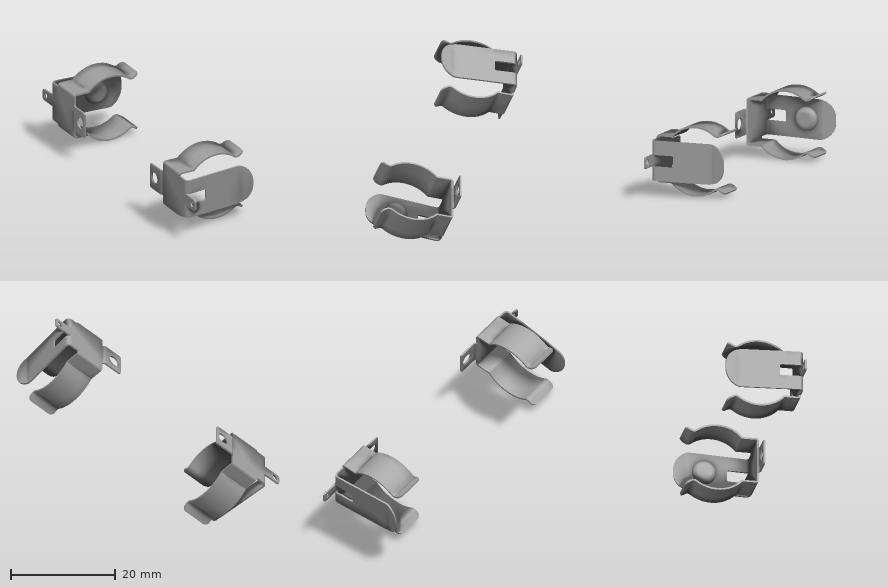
import cadquery as cq
import math


overall_length = 58.25
overall_height = 13.7
sheet = 0.35

outer_end_x = -overall_length / 2
solder_tab_length = 4.1
solder_tab_width = 2.3
solder_tab_corner = 0.45
solder_hole_diameter = 1.15
solder_hole_inset = 1.1

leaf_width = 7.85
leaf_bend_radius = 0.9
leaf_lean = 5.0
leaf_kink_y = 12.6
leaf_tip_lean = 13.0
leaf_tip_y = 15.15
leaf_tip_corner = 3.5
slot_end_y = 4.55
slot_corner = 0.35

button_diameter = 4.65
button_edge_radius = 1.15
button_center_y = 9.2
button_face_x = -23.6

strap_left_x = -23.3
strap_width = 6.3
strap_base_height = 9.3
strap_corner_radius = 0.5
grip_center_y = 8.15
flare_center_y = 12.7
flare_radius = 1.05
flare_angle = 30.0
flare_length = 1.35
flare_corner = 1.0

mount_tab_end_x = -12.6
mount_tab_width = 5.05
mount_tab_corner = 0.35
mount_hole_diameter = 2.35
mount_hole_inset = 1.65
jog_length = 0.45

leaf_root_x = outer_end_x + solder_tab_length
strap_right_x = strap_left_x + strap_width
grip_radius = overall_height / 2


def on_circle(center, radius, angle):
    """Point on a circle, with the angle in degrees."""
    a = math.radians(angle)
    return (center[0] + radius * math.cos(a), center[1] + radius * math.sin(a))


def grip_arm():
    """Upper half of the strap: half the base, the flat, the grip arc and the flared lip."""
    grip_center = (grip_center_y, 0)
    inner_grip = grip_radius - sheet
    inner_flare = flare_radius - sheet
    flat_z = strap_base_height / 2
    inner_flat_z = flat_z - sheet
    inner_corner = strap_corner_radius - sheet
    corner_center = (strap_corner_radius, flat_z - strap_corner_radius)

    reach = flare_center_y - grip_center_y
    centers_apart = inner_grip + flare_radius
    flare_center = (flare_center_y, math.sqrt(centers_apart**2 - reach**2))
    blend_angle = math.degrees(math.atan2(flare_center[1], reach))
    flare_start = blend_angle + 180
    flare_end = flare_angle + 270
    flare_middle = (flare_start + flare_end) / 2

    outer_flat_end = (grip_center_y - math.sqrt(grip_radius**2 - flat_z**2), flat_z)
    inner_flat_end = (grip_center_y - math.sqrt(inner_grip**2 - inner_flat_z**2), inner_flat_z)
    upper_lip_start = on_circle(flare_center, inner_flare, flare_end)
    lower_lip_start = on_circle(flare_center, flare_radius, flare_end)

    profile = (
        cq.Workplane("YZ")
        .lineTo(0, flat_z - strap_corner_radius)
        .threePointArc(on_circle(corner_center, strap_corner_radius, 135), (strap_corner_radius, flat_z))
        .lineTo(*outer_flat_end)
        .threePointArc((grip_center_y, grip_radius), on_circle(grip_center, grip_radius, blend_angle))
        .threePointArc(on_circle(flare_center, inner_flare, flare_middle), upper_lip_start)
        .lineTo(*on_circle(upper_lip_start, flare_length, flare_angle))
        .lineTo(*on_circle(lower_lip_start, flare_length, flare_angle))
        .lineTo(*lower_lip_start)
        .threePointArc(
            on_circle(flare_center, flare_radius, flare_middle),
            on_circle(grip_center, inner_grip, blend_angle),
        )
        .threePointArc((grip_center_y, inner_grip), inner_flat_end)
        .lineTo(strap_corner_radius, inner_flat_z)
        .threePointArc(on_circle(corner_center, inner_corner, 135), (sheet, flat_z - strap_corner_radius))
        .lineTo(sheet, 0)
        .close()
    )
    arm = profile.extrude(strap_width).translate((strap_left_x, 0, 0))
    lip_normal = cq.Vector(0, *on_circle((0, 0), 1, flare_angle + 90))
    return arm.edges(cq.selectors.ParallelDirSelector(lip_normal)).fillet(flare_corner)


def strap():
    """C-shaped gripping strap."""
    arm = grip_arm()
    return arm.union(arm.mirror("XY"))


def contact_leaf():
    """Flat foot beside the strap, bent up into a leaning leaf with a kinked, rounded tip."""
    bend_center = (leaf_root_x, leaf_bend_radius)
    inner_bend = leaf_bend_radius - sheet
    bend_end = 180 - leaf_lean
    bend_middle = (270 + bend_end) / 2
    lean_slope = math.tan(math.radians(leaf_lean))
    tip_slope = math.tan(math.radians(leaf_tip_lean))

    back_start = on_circle(bend_center, leaf_bend_radius, bend_end)
    back_kink = (back_start[0] + (leaf_kink_y - back_start[1]) * lean_slope, leaf_kink_y)
    back_end = (back_kink[0] - (leaf_tip_y - leaf_kink_y) * tip_slope, leaf_tip_y)
    miter = sheet / math.cos(math.radians(leaf_lean + leaf_tip_lean) / 2)
    front_kink = on_circle(back_kink, miter, (leaf_tip_lean - leaf_lean) / 2)
    front_end = (back_end[0] + sheet / math.cos(math.radians(leaf_tip_lean)), leaf_tip_y)

    bent_sheet = (
        cq.Workplane("XY")
        .moveTo(strap_left_x, 0)
        .lineTo(leaf_root_x, 0)
        .threePointArc(on_circle(bend_center, leaf_bend_radius, bend_middle), back_start)
        .lineTo(*back_kink)
        .lineTo(*back_end)
        .lineTo(*front_end)
        .lineTo(*front_kink)
        .lineTo(*on_circle(bend_center, inner_bend, bend_end))
        .threePointArc(on_circle(bend_center, inner_bend, bend_middle), (leaf_root_x, sheet))
        .lineTo(strap_left_x, sheet)
        .close()
        .extrude(leaf_width / 2, both=True)
    )
    rounded_outline = (
        cq.Workplane("XY")
        .box(2 * leaf_tip_y, 2 * leaf_tip_y, leaf_width)
        .edges(">Y and |X")
        .fillet(leaf_tip_corner)
        .translate((0, -leaf_tip_y, 0))
        .rotate((0, 0, 0), (0, 0, 1), leaf_tip_lean)
        .translate((*front_end, 0))
    )
    button = (
        cq.Workplane("YZ", origin=(button_face_x, button_center_y, 0))
        .circle(button_diameter / 2)
        .extrude(back_start[0] - button_face_x)
        .faces(">X")
        .edges()
        .fillet(button_edge_radius)
    )
    front_of_back = (
        cq.Workplane("XY")
        .polyline([back_start, back_kink, (strap_left_x, leaf_kink_y), (strap_left_x, back_start[1])])
        .close()
        .extrude(leaf_width / 2, both=True)
    )
    slot = (
        cq.Workplane("XY")
        .box(solder_tab_length, slot_end_y, solder_tab_width, centered=(False, False, True))
        .translate((outer_end_x, 0, 0))
        .edges(">Y and |X")
        .fillet(slot_corner)
    )
    return bent_sheet.intersect(rounded_outline).union(button.intersect(front_of_back)).cut(slot)


def solder_tab():
    """Narrow tab in line with the strap base, with a wire hole near its end."""
    return (
        cq.Workplane("XY")
        .box(solder_tab_length, sheet, solder_tab_width, centered=(False, False, True))
        .translate((outer_end_x, 0, 0))
        .edges("<X and |Y")
        .fillet(solder_tab_corner)
        .cut(round_hole(outer_end_x + solder_hole_inset, solder_hole_diameter))
    )


def mounting_tab():
    """Tab on the far side of the strap, stepped outward by one sheet thickness."""
    jog_end_x = strap_right_x + jog_length
    outline = [
        (strap_right_x, 0),
        (jog_end_x, -sheet),
        (mount_tab_end_x, -sheet),
        (mount_tab_end_x, 0),
        (jog_end_x, 0),
        (strap_right_x, sheet),
    ]
    return (
        cq.Workplane("XY")
        .polyline(outline)
        .close()
        .extrude(mount_tab_width / 2, both=True)
        .edges(">X and |Y")
        .fillet(mount_tab_corner)
        .cut(round_hole(mount_tab_end_x - mount_hole_inset, mount_hole_diameter))
    )


def round_hole(x, diameter):
    """Cutter along Y, long enough to pass through either tab."""
    return cq.Workplane("XZ", origin=(x, 0, 0)).circle(diameter / 2).extrude(2 * sheet, both=True)


def battery_clip():
    """One clip, with its solder tab towards -X."""
    return strap().union(contact_leaf()).union(solder_tab()).union(mounting_tab())


left_clip = battery_clip()
right_clip = left_clip.mirror("YZ")

result = cq.Compound.makeCompound([left_clip.val(), right_clip.val()])